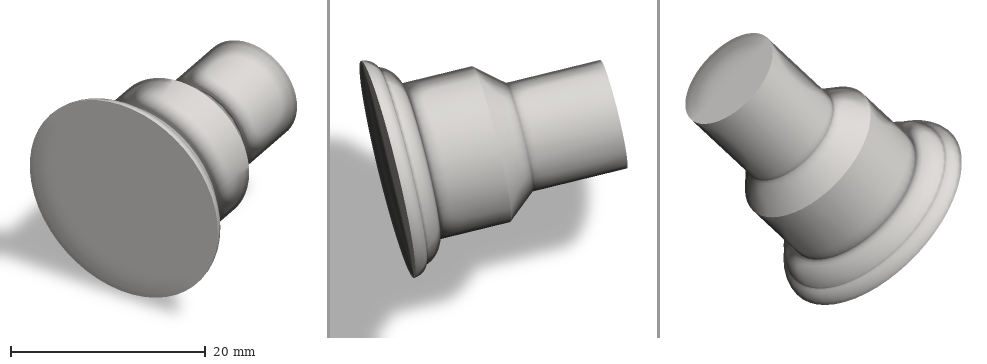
import cadquery as cq
import math

total_length = 24.0
flange_diameter = 23.0
body_diameter = 16.5
neck_diameter = 11.5
step_diameter = 21.0
rim_height = 1.5
shoulder_height = 2.0
body_length = 7.5
cone_length = 3.0
rim_bulge = 0.26
shoulder_bulge = 0.38

shoulder_end = rim_height + shoulder_height
body_end = shoulder_end + body_length
cone_end = body_end + cone_length

flange_radius = flange_diameter / 2
step_radius = step_diameter / 2
body_radius = body_diameter / 2
neck_radius = neck_diameter / 2


def arc_middle(start, end, bulge):
    """Middle point of an arc that bulges away from the axis and leans inward."""
    run = start[0] - end[0]
    rise = end[1] - start[1]
    chord = math.hypot(run, rise)
    return (
        (start[0] + end[0]) / 2 + bulge * rise / chord,
        (start[1] + end[1]) / 2 + bulge * run / chord,
    )


rim_start = (flange_radius, 0)
step = (step_radius, rim_height)
shoulder_top = (body_radius, shoulder_end)

profile = (
    cq.Workplane("XY")
    .lineTo(*rim_start)
    .threePointArc(arc_middle(rim_start, step, rim_bulge), step)
    .threePointArc(arc_middle(step, shoulder_top, shoulder_bulge), shoulder_top)
    .lineTo(body_radius, body_end)
    .lineTo(neck_radius, cone_end)
    .lineTo(neck_radius, total_length)
    .lineTo(0, total_length)
    .close()
)

result = profile.revolve(360, (0, 0, 0), (0, 1, 0))